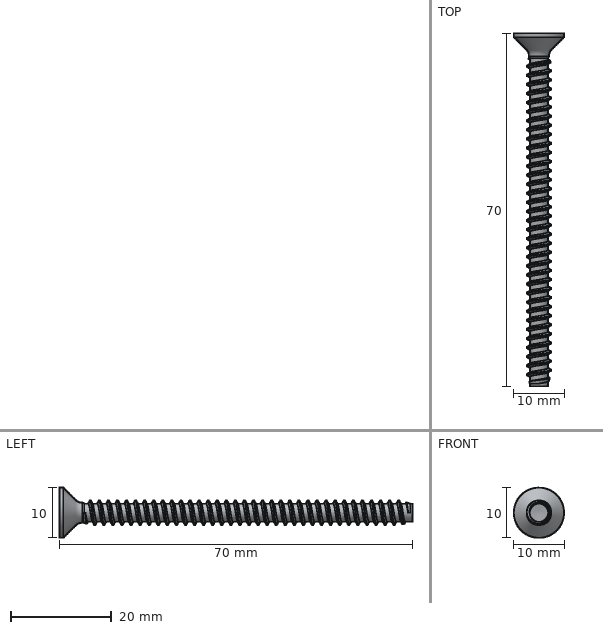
import cadquery as cq
import math

length = 70.0

head_diameter = 10.0
head_radius = head_diameter / 2
rim_height = 0.8
cone_half_angle = math.radians(45.0)
head_fillet_radius = 1.6

neck_radius = 2.0
neck_end = 4.55
step_end = 5.0

shank_radius = 1.8
dimple_radius = 1.7
dimple_depth = 0.15

crest_radius = 2.45
crest_width = 0.15
foot_radius = 1.75
foot_width = 0.9
thread_turns = 36
thread_start = 4.75
fade_in_start = 4.35
fade_in_end = 6.1
fade_out_start = 67.6
thread_end = 69.5
thread_length = thread_end - thread_start
pitch = thread_length / thread_turns

trim_clearance = 0.7


def revolve_profile(profile):
    """Revolve a closed (radius, Z) outline fully around the screw axis."""
    return profile.close().revolve(360, (0, 0, 0), (0, 1, 0))


def head_and_neck():
    """Rim, 90-degree cone, fillet tangent to cone and neck, and the taper down to the shank."""
    cone_end = rim_height + (head_radius - neck_radius) / math.tan(cone_half_angle)
    tangent_length = head_fillet_radius * math.tan(cone_half_angle / 2)
    fillet_start = (
        neck_radius + tangent_length * math.sin(cone_half_angle),
        -cone_end + tangent_length * math.cos(cone_half_angle),
    )
    fillet_end = (neck_radius, -cone_end - tangent_length)
    return revolve_profile(
        cq.Workplane("XZ")
        .lineTo(head_radius, 0)
        .lineTo(head_radius, -rim_height)
        .lineTo(*fillet_start)
        .tangentArcPoint(fillet_end, relative=False)
        .lineTo(neck_radius, -neck_end)
        .lineTo(shank_radius, -step_end)
        .lineTo(0, -step_end)
    )


def plain_shank():
    """Cylinder that reaches up inside the head, with the dimple at its tip."""
    return revolve_profile(
        cq.Workplane("XZ")
        .moveTo(0, -rim_height)
        .lineTo(shank_radius, -rim_height)
        .lineTo(shank_radius, -length)
        .lineTo(dimple_radius, -length)
        .lineTo(0, -length + dimple_depth)
    )


def thread_ridge():
    """Right-handed trapezoidal ridge of constant height, its foot sunk slightly into the shank."""
    helix = cq.Wire.makeHelix(pitch, thread_length, shank_radius)
    helix = helix.rotate(cq.Vector(0, 0, 0), cq.Vector(0, 0, 1), 180)
    section = cq.Workplane("XZ").polyline([
        (-foot_radius, -foot_width / 2),
        (-crest_radius, -crest_width / 2),
        (-crest_radius, crest_width / 2),
        (-foot_radius, foot_width / 2),
    ]).close()
    ridge = section.sweep(cq.Workplane(obj=helix), isFrenet=True)
    return ridge.translate((0, 0, -thread_end))


def fade_trim(full_depth, faded_depth):
    """Ring whose conical bore narrows from the crest at full_depth to the shank at faded_depth."""
    outer_radius = crest_radius + trim_clearance
    ring_end = faded_depth + math.copysign(pitch, faded_depth - full_depth)
    return revolve_profile(
        cq.Workplane("XZ")
        .moveTo(crest_radius, -full_depth)
        .lineTo(shank_radius, -faded_depth)
        .lineTo(shank_radius, -ring_end)
        .lineTo(outer_radius, -ring_end)
        .lineTo(outer_radius, -full_depth)
    )


def threaded_shank():
    """Shank with its thread, the ridge tapering away at both ends."""
    shank = plain_shank().union(thread_ridge())
    shank = shank.cut(fade_trim(fade_out_start, thread_end))
    return shank.cut(fade_trim(fade_in_end, fade_in_start))


screw = threaded_shank().union(head_and_neck())
result = screw.rotate((0, 0, 0), (1, 0, 0), -90).solids()